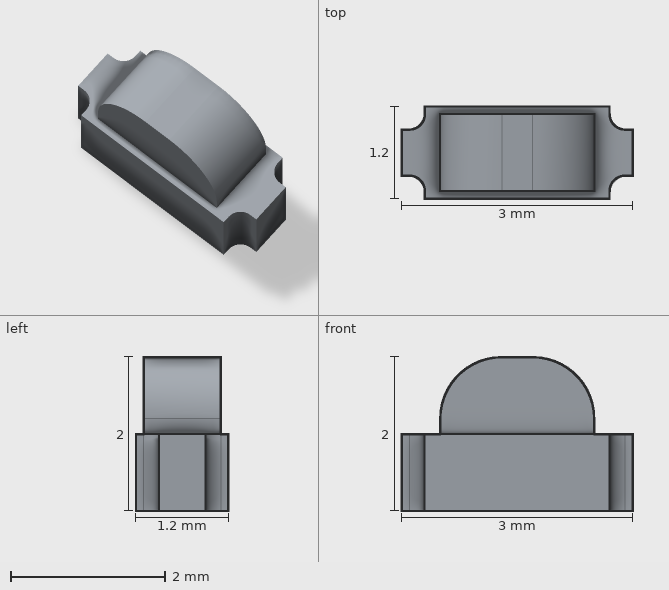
import cadquery as cq

base_length = 3.0
base_width = 1.2
base_height = 1.0

notch_length = 0.3
notch_width = 0.3
notch_radius = 0.2

lens_length = 2.0
lens_width = 1.0
lens_height = 1.0
lens_radius = 0.8


def make_notch(side_x, side_y):
    """Cutter for one base corner, rounded where it meets the body."""
    cutter = (
        cq.Workplane("XY")
        .rect(2 * notch_length, 2 * notch_width)
        .extrude(base_height)
        .edges("|Z")
        .fillet(notch_radius)
    )
    return cutter.translate((side_x * base_length / 2, side_y * base_width / 2, 0))


def make_base():
    """Block standing on Z = 0 with its four corners notched."""
    base = cq.Workplane("XY").box(base_length, base_width, base_height, centered=(True, True, False))
    for side_x in (-1, 1):
        for side_y in (-1, 1):
            base = base.cut(make_notch(side_x, side_y))
    return base


def make_lens():
    """Block on the base with its two upper edges along Y rounded."""
    lens = cq.Workplane("XY").box(lens_length, lens_width, lens_height, centered=(True, True, False))
    lens = lens.edges("|Y and >Z").fillet(lens_radius)
    return lens.translate((0, 0, base_height))


result = make_base().union(make_lens())